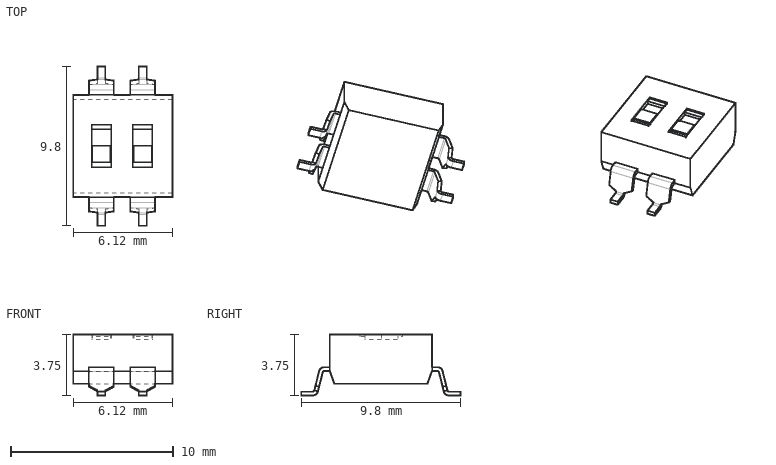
import cadquery as cq
import math


overall_length = 9.8
overall_height = 3.75

body_width = 6.12
body_length = 6.29
body_height = 3.04
body_bottom_inset = 0.28

pitch = 2.54
row_offset = -0.05
position_xs = [row_offset - pitch / 2, row_offset + pitch / 2]

lead_thickness = 0.245
lead_top = 1.75
lead_width = 1.54
foot_width = 0.5
shoulder_length = 0.32
bend_inner_radius = 0.1
bend_outer_radius = bend_inner_radius + lead_thickness
leg_tilt = 14.0
taper_length = 0.29

window_width = 1.2
window_length = 2.61
window_offset = 0.015
ledge_length = 0.29
ledge_depth = 0.1
well_depth = 0.29
slider_width = 1.1
slider_length = 1.02


def make_body():
    """Block whose lower part slopes inward on the two lead sides."""
    half_length = body_length / 2
    bottom = overall_height - body_height
    shoulder = lead_top - lead_thickness
    bottom_half_length = half_length - body_bottom_inset
    outline = [
        (-bottom_half_length, bottom),
        (bottom_half_length, bottom),
        (half_length, shoulder),
        (half_length, overall_height),
        (-half_length, overall_height),
        (-half_length, shoulder),
    ]
    return cq.Workplane("YZ").polyline(outline).close().extrude(body_width / 2, both=True)


def top_box(width, length, depth, x, y):
    """Box reaching down from the top face of the housing."""
    return (
        cq.Workplane("XY", origin=(x, y, overall_height))
        .rect(width, length)
        .extrude(-depth)
    )


def make_window(x):
    """Window with a shallow ledge at each end and a deeper well between them."""
    well_length = window_length - 2 * ledge_length
    opening = top_box(window_width, window_length, ledge_depth, x, window_offset)
    well = top_box(window_width, well_length, well_depth, x, window_offset)
    return opening.union(well)


def make_slider(x):
    """Slider standing on the well floor against the -Y ledge, flush with the top face."""
    slider_start = window_offset - window_length / 2 + ledge_length
    slider_y = slider_start + slider_length / 2
    return top_box(slider_width, slider_length, well_depth, x, slider_y)


def on_arc(center, radius, degrees):
    """Point on a circle in the YZ plane, with the angle measured from +Y toward +Z."""
    angle = math.radians(degrees)
    return (center[0] + radius * math.cos(angle), center[1] + radius * math.sin(angle))


def make_lead():
    """Gull-wing lead on the +Y side, centred on X = 0."""
    tilt = math.radians(leg_tilt)
    face_y = body_length / 2
    tip_y = overall_length / 2

    upper = (face_y + shoulder_length, lead_top - bend_outer_radius)
    bend_drop = upper[1] - bend_outer_radius
    radius_sum = bend_outer_radius + bend_inner_radius
    bend_run = (radius_sum + bend_drop * math.sin(tilt)) / math.cos(tilt)
    lower = (upper[0] + bend_run, bend_outer_radius)

    upper_start, upper_end = 90, leg_tilt
    lower_start, lower_end = 180 + leg_tilt, 270
    upper_middle = (upper_start + upper_end) / 2
    lower_middle = (lower_start + lower_end) / 2

    strip = (
        cq.Workplane("YZ")
        .moveTo(face_y, lead_top)
        .lineTo(*on_arc(upper, bend_outer_radius, upper_start))
        .threePointArc(
            on_arc(upper, bend_outer_radius, upper_middle),
            on_arc(upper, bend_outer_radius, upper_end),
        )
        .lineTo(*on_arc(lower, bend_inner_radius, lower_start))
        .threePointArc(
            on_arc(lower, bend_inner_radius, lower_middle),
            on_arc(lower, bend_inner_radius, lower_end),
        )
        .lineTo(tip_y, lead_thickness)
        .lineTo(tip_y, 0)
        .lineTo(*on_arc(lower, bend_outer_radius, lower_end))
        .threePointArc(
            on_arc(lower, bend_outer_radius, lower_middle),
            on_arc(lower, bend_outer_radius, lower_start),
        )
        .lineTo(*on_arc(upper, bend_inner_radius, upper_end))
        .threePointArc(
            on_arc(upper, bend_inner_radius, upper_middle),
            on_arc(upper, bend_inner_radius, upper_start),
        )
        .lineTo(face_y, lead_top - lead_thickness)
        .close()
        .extrude(lead_width / 2, both=True)
    )

    leg_end = on_arc(lower, bend_inner_radius, lower_start)
    leg_plane = cq.Plane(
        origin=(0, *leg_end),
        xDir=(-1, 0, 0),
        normal=(0, math.cos(tilt), math.sin(tilt)),
    )
    reach = overall_height
    width_outline = [
        (-foot_width / 2, -reach),
        (foot_width / 2, -reach),
        (foot_width / 2, 0),
        (lead_width / 2, taper_length),
        (lead_width / 2, reach),
        (-lead_width / 2, reach),
        (-lead_width / 2, taper_length),
        (-foot_width / 2, 0),
    ]
    blank = cq.Workplane(leg_plane).polyline(width_outline).close().extrude(reach, both=True)
    return strip.intersect(blank)


lead = make_lead()
opposite_lead = lead.mirror("XZ")

result = make_body()
for position_x in position_xs:
    result = result.cut(make_window(position_x))
    result = result.union(make_slider(position_x))
    result = result.union(lead.translate((position_x, 0, 0)))
    result = result.union(opposite_lead.translate((position_x, 0, 0)))